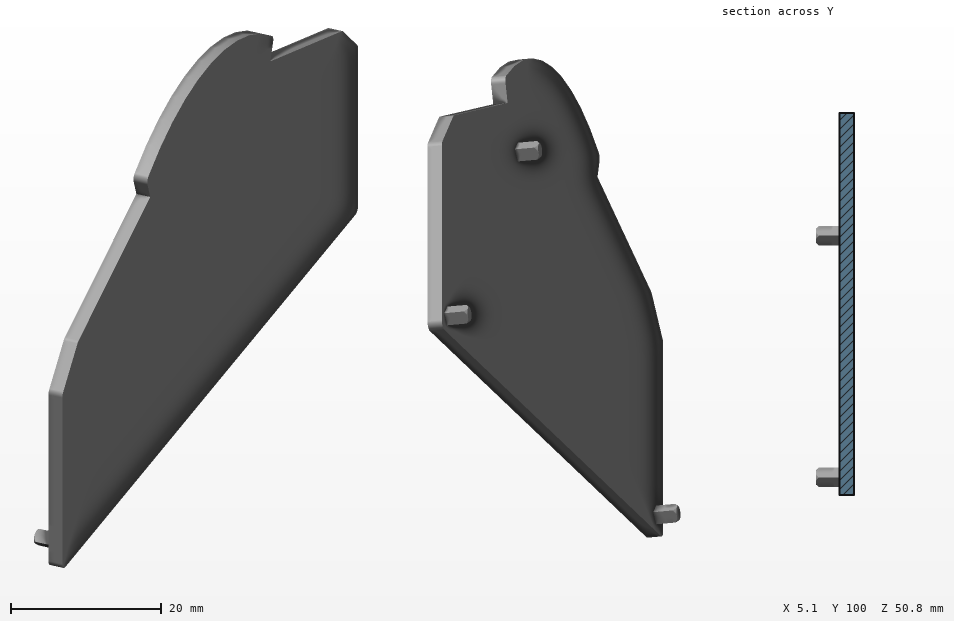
import cadquery as cq
import math

length = 100.0
height = 50.8
plate_thickness = 2.0
corner_radius = 1.0

end_cut = 5.3
shoulder_angle = 20.0
left_end_height = 25.7
right_end_height = 27.3
notch_y = 20.3

crown_radius = 36.8
crown_center_y = -1.1
crown_half_width = 21.5

peg_length = 3.1
peg_diagonal = 2.6
peg_tip_length = 0.4
peg_positions = [(47.6, 2.3), (-46.8, 2.3), (15.7, 34.4)]


def crown_z(y):
    """Height of the crown arc at a given y."""
    center_z = height - crown_radius
    return center_z + math.sqrt(crown_radius**2 - (y - crown_center_y) ** 2)


def make_plate():
    half_length = length / 2
    shoulder_y = half_length - end_cut
    shoulder_rise = (shoulder_y - notch_y) * math.tan(math.radians(shoulder_angle))
    left_shoulder_z = left_end_height + end_cut
    right_shoulder_z = right_end_height + end_cut

    plate = (
        cq.Workplane("YZ")
        .moveTo(-half_length, 0)
        .lineTo(half_length, 0)
        .lineTo(half_length, left_end_height)
        .lineTo(shoulder_y, left_shoulder_z)
        .lineTo(notch_y, left_shoulder_z + shoulder_rise)
        .lineTo(crown_half_width, crown_z(crown_half_width))
        .threePointArc((crown_center_y, height), (-crown_half_width, crown_z(-crown_half_width)))
        .lineTo(-notch_y, right_shoulder_z + shoulder_rise)
        .lineTo(-shoulder_y, right_shoulder_z)
        .lineTo(-half_length, right_end_height)
        .close()
        .extrude(plate_thickness)
    )
    notch_corners = cq.selectors.BoxSelector(
        (0, -notch_y - corner_radius / 2, right_shoulder_z),
        (plate_thickness, -notch_y + corner_radius / 2, right_shoulder_z + shoulder_rise + corner_radius),
    ) + cq.selectors.BoxSelector(
        (0, notch_y - corner_radius / 2, left_shoulder_z),
        (plate_thickness, notch_y + corner_radius / 2, left_shoulder_z + shoulder_rise + corner_radius),
    )
    outer_corners = cq.selectors.ParallelDirSelector(cq.Vector(1, 0, 0)) - notch_corners
    return plate.edges(outer_corners).fillet(corner_radius)


def make_peg(y, z):
    """Square peg reaching from the front face toward -X, its corners coned off at the tip."""
    side = peg_diagonal / math.sqrt(2)
    square = (
        cq.Workplane("YZ")
        .rect(side, side)
        .extrude(-peg_length)
        .rotate((0, 0, 0), (1, 0, 0), 45)
    )
    envelope = (
        cq.Workplane("YZ")
        .circle(peg_diagonal / 2)
        .extrude(-peg_length)
        .faces("<X")
        .chamfer(peg_tip_length, (peg_diagonal - side) / 2)
    )
    return square.intersect(envelope).translate((0, y, z))


result = make_plate()
for peg_y, peg_z in peg_positions:
    result = result.union(make_peg(peg_y, peg_z))